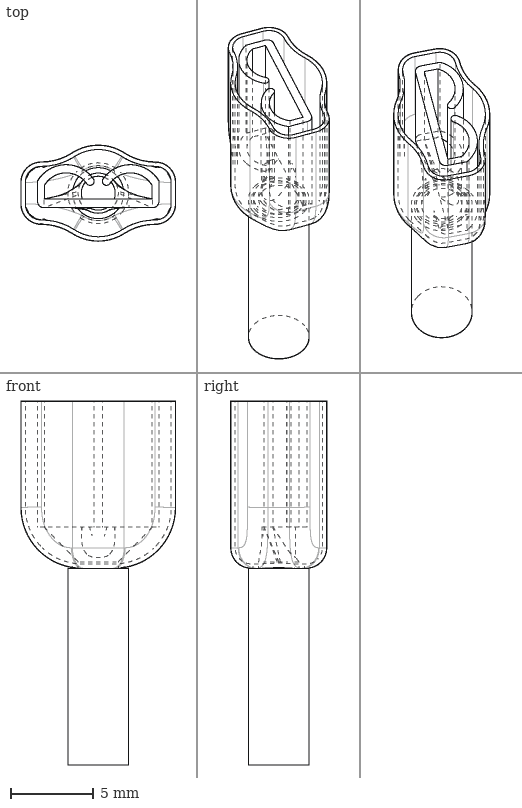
import cadquery as cq
import math

total_height = 22.1
hood_bottom = 11.95

hood_width = 9.4
bulge_radius = 2.92
bulge_half_width = 1.57
bulge_angle = math.asin(bulge_half_width / bulge_radius)
hood_end_half_depth = 1.9
hood_corner_radius = 1.25
hood_bottom_radius = 3.7
hood_wall = 0.27

cable_radius = 1.85
floor_opening_radius = 1.55
crimp_radius = 1.22
crimp_height = 0.4
wire_radius = 1.03

receptacle_half_width = 3.69
plate_back = -0.885
plate_thickness = 0.53
plate_corner_radius = 0.4
curl_thickness = 0.5
side_thickness = 0.44
curl_outer_radius = 2.02
curl_inner_radius = curl_outer_radius - curl_thickness
curl_center = (-1.95, -0.29)
curl_tip_angle = math.radians(35)
receptacle_bottom = hood_bottom + 2.5
wire_top = receptacle_bottom


def polar(center, radius, angle):
    """Point on a circle."""
    return (center[0] + radius * math.cos(angle), center[1] + radius * math.sin(angle))


def hood_block(inset):
    """Solid hood with its sides and bottom moved inwards by inset; the top stays put."""
    half_width = hood_width / 2 - inset
    end_half_depth = hood_end_half_depth - inset
    corner = hood_corner_radius - inset
    bulge = bulge_radius - inset
    bottom = hood_bottom + inset
    height = total_height - bottom

    bulge_end = polar((0, 0), bulge, math.pi / 2 - bulge_angle)
    flank_radius = (half_width - corner - bulge_end[0]) / math.sin(bulge_angle)
    flank_center = (half_width - corner, end_half_depth + flank_radius)
    flank_middle = polar(flank_center, flank_radius, -(math.pi + bulge_angle) / 2)

    quarter = (
        cq.Workplane("XY")
        .workplane(offset=bottom)
        .lineTo(half_width, 0)
        .lineTo(half_width, end_half_depth)
        .lineTo(flank_center[0], end_half_depth)
        .threePointArc(flank_middle, bulge_end)
        .threePointArc(polar((0, 0), bulge, (math.pi - bulge_angle) / 2), (0, bulge))
        .close()
        .extrude(height)
    )
    half = quarter.union(quarter.mirror("YZ"))
    upright = half.union(half.mirror("XZ")).clean()

    broad_profile = (
        cq.Workplane("XY")
        .workplane(offset=bottom)
        .rect(2 * half_width, 2 * bulge_radius)
        .extrude(height)
        .edges("|Y and <Z")
        .fillet(hood_bottom_radius - inset)
    )
    block = upright.intersect(broad_profile)
    rim_start = block.faces("<Z").edges(">Y or <Y")
    return rim_start.fillet(corner)


def hood():
    """Thin-walled hood, open at the top, with a round opening in its floor."""
    opening = (
        cq.Workplane("XY")
        .workplane(offset=hood_bottom)
        .circle(floor_opening_radius)
        .extrude(2 * hood_wall)
    )
    return hood_block(0).cut(hood_block(hood_wall)).cut(opening)


def cable():
    """Insulated cable with the bare wire reaching up into the hood."""
    insulation = cq.Workplane("XY").circle(cable_radius).extrude(hood_bottom)
    wire = cq.Workplane("XY").circle(wire_radius).extrude(wire_top)
    return insulation.union(wire)


def crimp():
    """Barrel around the wire, blending upwards into the receptacle's flat plate."""
    barrel_top = hood_bottom + crimp_height
    barrel = (
        cq.Workplane("XY")
        .workplane(offset=hood_bottom)
        .circle(crimp_radius)
        .extrude(crimp_height)
    )
    blend = (
        cq.Workplane("XY")
        .workplane(offset=barrel_top)
        .circle(crimp_radius)
        .workplane(offset=receptacle_bottom - barrel_top)
        .center(0, plate_back + plate_thickness / 2)
        .rect(2 * (receptacle_half_width - plate_corner_radius), plate_thickness)
        .loft(ruled=True)
    )
    return barrel.union(blend)


def receptacle():
    """Flat plate with its two edges curled over towards the middle."""
    side = -receptacle_half_width
    inner_side = side + side_thickness
    plate_front = plate_back + plate_thickness
    corner_center = (side + plate_corner_radius, plate_back + plate_corner_radius)
    top_angle = math.pi / 2
    outer_start = curl_center[1] + math.sqrt(curl_outer_radius**2 - (side - curl_center[0]) ** 2)
    inner_start = curl_center[1] + math.sqrt(curl_inner_radius**2 - (inner_side - curl_center[0]) ** 2)
    tip_middle_radius = curl_outer_radius - curl_thickness / 2
    tip_center = polar(curl_center, tip_middle_radius, curl_tip_angle)
    tip_end = polar(tip_center, curl_thickness / 2, curl_tip_angle - math.pi / 2)

    half = (
        cq.Workplane("XY")
        .workplane(offset=receptacle_bottom)
        .moveTo(0, plate_back)
        .lineTo(corner_center[0], plate_back)
        .threePointArc(
            polar(corner_center, plate_corner_radius, -3 * math.pi / 4),
            (side, corner_center[1]),
        )
        .lineTo(side, outer_start)
        .threePointArc(
            polar(curl_center, curl_outer_radius, top_angle),
            polar(curl_center, curl_outer_radius, curl_tip_angle),
        )
        .threePointArc(tip_end, polar(curl_center, curl_inner_radius, curl_tip_angle))
        .threePointArc(
            polar(curl_center, curl_inner_radius, top_angle),
            (inner_side, inner_start),
        )
        .lineTo(inner_side, plate_front)
        .lineTo(0, plate_front)
        .close()
        .extrude(total_height - receptacle_bottom)
    )
    return half.union(half.mirror("YZ"))


result = hood().union(cable()).union(crimp()).union(receptacle())